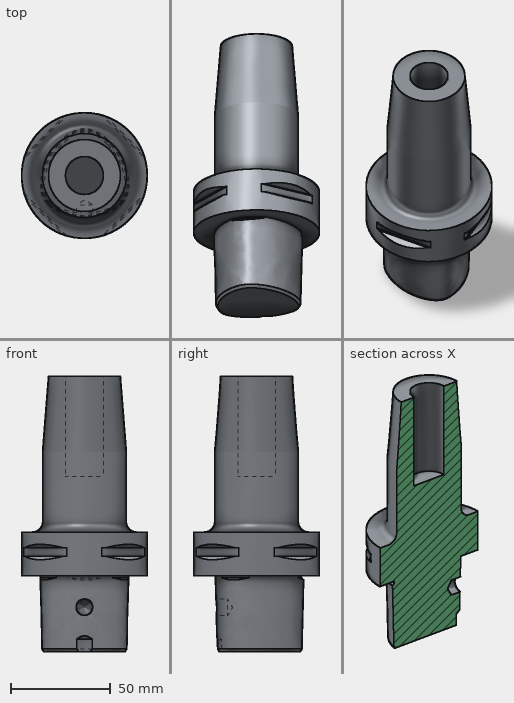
import cadquery as cq
import math


FLANGE_DIAMETER = 63.0
FLANGE_HEIGHT = 22.0
GROOVE_Z = 12.0
GROOVE_FLOOR_HEIGHT = 4.2
GROOVE_FLOOR_DISTANCE = 27.6
GROOVE_WALL_DEPTH = 0.85
GROOVE_FLANK_ANGLE = 30.0
GROOVE_COUNT = 4
FIRST_GROOVE_ANGLE = 45.0

NOSE_TOP_Z = 100.0
NOSE_DIAMETER = 42.0
NOSE_TIP_DIAMETER = 36.0
NOSE_TAPER_LENGTH = 38.0
NOSE_FILLET = 5.0
BORE_DIAMETER = 19.0
BORE_DEPTH = 50.0

SHANK_LENGTH = 38.0
SHANK_WIDTH = 44.2
LOBE_ECCENTRICITY = 1.55
SHANK_STRAIGHT_LENGTH = 2.9
SHANK_TAPER = 1 / 20
TIP_CHAMFER_HEIGHT = 1.6
TIP_CHAMFER_INSET = 1.0
PROFILE_POINTS = 90

RELIEF_DIAMETER = 44.7
RELIEF_HEIGHT = 1.9
RELIEF_STRAIGHT_HEIGHT = 0.8

FLAT_DISTANCE = SHANK_WIDTH / 2 - LOBE_ECCENTRICITY
SIDE_HOLE_TIP_ANGLE = 118.0
SIDE_HOLE_DIAMETER = 8.2
SIDE_HOLE_Z = -15.6
SIDE_HOLE_DEPTH = 6.0
KEY_SLOT_DIAMETER = 10.0
KEY_SLOT_TIP_ANGLE = 100.0
KEY_SLOT_LENGTH = 6.3
KEY_SLOT_AXIS_Y = -22.7


def revolve_about_z(outline):
    return outline.close().revolve(360, (0, 0, 0), (0, 1, 0))


def flange_and_nose():
    nose_radius = NOSE_DIAMETER / 2
    fillet_top_z = FLANGE_HEIGHT + NOSE_FILLET
    fillet_centre_x = nose_radius + NOSE_FILLET
    fillet_reach = NOSE_FILLET * math.sqrt(0.5)
    outline = (
        cq.Workplane("XZ")
        .lineTo(FLANGE_DIAMETER / 2, 0)
        .lineTo(FLANGE_DIAMETER / 2, FLANGE_HEIGHT)
        .lineTo(fillet_centre_x, FLANGE_HEIGHT)
        .threePointArc(
            (fillet_centre_x - fillet_reach, fillet_top_z - fillet_reach),
            (nose_radius, fillet_top_z),
        )
        .lineTo(nose_radius, NOSE_TOP_Z - NOSE_TAPER_LENGTH)
        .lineTo(NOSE_TIP_DIAMETER / 2, NOSE_TOP_Z)
        .lineTo(0, NOSE_TOP_Z)
    )
    return revolve_about_z(outline)


def lobed_curve(width):
    """Constant-width curve with one lobe toward +Y, starting and ending at the middle of the -Y flat."""

    def point(t):
        normal = 2 * math.pi * t - math.pi / 2
        lobe_phase = 3 * (normal - math.pi / 2)
        support = width / 2 + LOBE_ECCENTRICITY * math.cos(lobe_phase)
        support_slope = -3 * LOBE_ECCENTRICITY * math.sin(lobe_phase)
        x = support * math.cos(normal) - support_slope * math.sin(normal)
        y = support * math.sin(normal) + support_slope * math.cos(normal)
        return x, y

    return point


def lobed_section(top_z, top_width, bottom_z, bottom_width):
    return (
        cq.Workplane("XY", origin=(0, 0, top_z))
        .parametricCurve(lobed_curve(top_width), N=PROFILE_POINTS)
        .workplane(offset=bottom_z - top_z)
        .parametricCurve(lobed_curve(bottom_width), N=PROFILE_POINTS)
        .loft(ruled=True, combine=True)
    )


def shank():
    taper_top_z = -SHANK_STRAIGHT_LENGTH
    tip_z = -SHANK_LENGTH
    chamfer_z = tip_z + TIP_CHAMFER_HEIGHT
    chamfer_width = SHANK_WIDTH - SHANK_TAPER * (taper_top_z - chamfer_z)
    tip_width = chamfer_width - 2 * TIP_CHAMFER_INSET
    straight = lobed_section(0, SHANK_WIDTH, taper_top_z, SHANK_WIDTH)
    taper = lobed_section(taper_top_z, SHANK_WIDTH, chamfer_z, chamfer_width)
    tip = lobed_section(chamfer_z, chamfer_width, tip_z, tip_width)
    return straight.union(taper).union(tip)


def lobe_relief():
    inner_radius = RELIEF_DIAMETER / 2
    cone_height = RELIEF_HEIGHT - RELIEF_STRAIGHT_HEIGHT
    outer_radius = FLANGE_DIAMETER / 2
    outline = (
        cq.Workplane("XZ")
        .moveTo(inner_radius, 0)
        .lineTo(outer_radius, 0)
        .lineTo(outer_radius, -RELIEF_HEIGHT)
        .lineTo(inner_radius + cone_height, -RELIEF_HEIGHT)
        .lineTo(inner_radius, -RELIEF_STRAIGHT_HEIGHT)
    )
    return revolve_about_z(outline)


def drill(diameter, length, tip_angle):
    """Drill along +Z from the origin: a cylinder with a conical tip above it."""
    radius = diameter / 2
    tip_height = radius / math.tan(math.radians(tip_angle / 2))
    outline = (
        cq.Workplane("XZ")
        .lineTo(radius, 0)
        .lineTo(radius, length)
        .lineTo(0, length + tip_height)
    )
    return revolve_about_z(outline)


def side_hole():
    start_distance = FLANGE_DIAMETER / 2
    entry_clearance = start_distance - FLAT_DISTANCE
    tool = drill(SIDE_HOLE_DIAMETER, SIDE_HOLE_DEPTH + entry_clearance, SIDE_HOLE_TIP_ANGLE)
    return tool.rotate((0, 0, 0), (1, 0, 0), -90).translate((0, -start_distance, SIDE_HOLE_Z))


def key_slot():
    tool = drill(KEY_SLOT_DIAMETER, KEY_SLOT_LENGTH, KEY_SLOT_TIP_ANGLE)
    return tool.translate((0, KEY_SLOT_AXIS_Y, -SHANK_LENGTH))


def bore():
    return (
        cq.Workplane("XY", origin=(0, 0, NOSE_TOP_Z - BORE_DEPTH))
        .circle(BORE_DIAMETER / 2)
        .extrude(BORE_DEPTH)
    )


def gripper_groove(angle):
    mouth_distance = FLANGE_DIAMETER / 2
    flank_distance = GROOVE_FLOOR_DISTANCE + GROOVE_WALL_DEPTH
    flank_depth = mouth_distance - flank_distance
    floor_half = GROOVE_FLOOR_HEIGHT / 2
    mouth_half = floor_half + flank_depth * math.tan(math.radians(GROOVE_FLANK_ANGLE))
    return (
        cq.Workplane("XZ")
        .moveTo(GROOVE_FLOOR_DISTANCE, GROOVE_Z - floor_half)
        .lineTo(flank_distance, GROOVE_Z - floor_half)
        .lineTo(mouth_distance, GROOVE_Z - mouth_half)
        .lineTo(mouth_distance, GROOVE_Z + mouth_half)
        .lineTo(flank_distance, GROOVE_Z + floor_half)
        .lineTo(GROOVE_FLOOR_DISTANCE, GROOVE_Z + floor_half)
        .close()
        .extrude(FLANGE_DIAMETER / 2, both=True)
        .rotate((0, 0, 0), (0, 0, 1), angle)
    )


shank_body = shank().cut(lobe_relief()).cut(side_hole()).cut(key_slot())
result = flange_and_nose().union(shank_body).cut(bore())
for index in range(GROOVE_COUNT):
    groove_angle = FIRST_GROOVE_ANGLE + index * 360 / GROOVE_COUNT
    result = result.cut(gripper_groove(groove_angle))